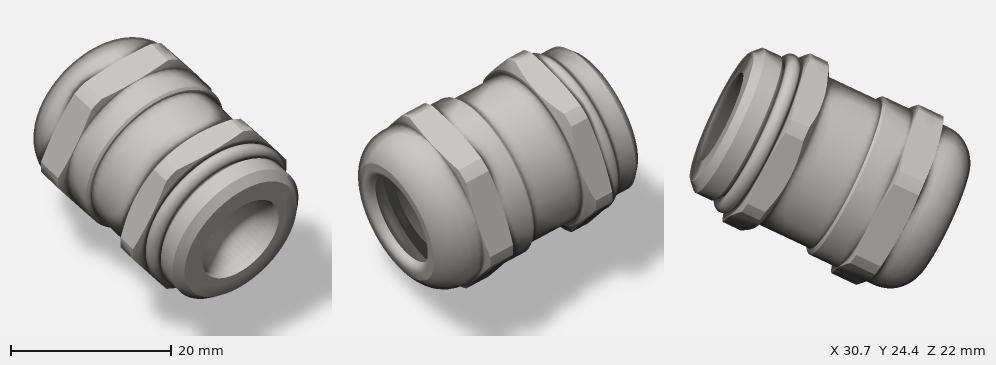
import cadquery as cq
import math


total_length = 30.65
hexagon_sides = 6
across_flats = 22.0
across_corners = 24.4
outer_diameter = 21.8

dome_end = 4.16
nut_hex_start = 5.46
nut_hex_end = 9.52
nut_end = 13.51
body_hex_start = 21.1
body_hex_end = 24.68
collar_start = 26.76

shallow_chamfer_diameter = 21.8
shallow_chamfer_angle = 13.0
steep_chamfer_diameter = 21.7
steep_chamfer_angle = 30.0

face_diameter = 16.3
lip_diameter = 12.3
lip_round = 0.9
lip_length = 1.15
skirt_chamfer = 0.29
thread_diameter = 19.4
thread_start = 5.5

insert_start = 4.0
insert_end = 12.0
seal_bore = 12.0
seal_diameter = 14.1
cage_diameter = 17.5
cage_head_diameter = 18.2

body_bore = 12.1
barrel_diameter = 20.4
neck_diameter = 17.8
collar_diameter = 20.0
collar_edge_diameter = 19.06
end_diameter = 17.8
end_chamfer_length = 1.07


def revolve_about_x(outline):
    return outline.close().revolve(360, (0, 0, 0), (1, 0, 0))


def tube(start, end, outer, inner):
    ring = cq.Workplane("YZ", origin=(start, 0, 0)).circle(outer / 2).circle(inner / 2)
    return ring.extrude(end - start)


def chamfered_hexagon(start, end, front_diameter, front_angle, back_diameter, back_angle):
    """Hexagonal collar with flats facing +Z and -Z, turned corners and a cone on both faces."""
    corner = across_corners / 2
    front_depth = (corner - front_diameter / 2) * math.tan(math.radians(front_angle))
    back_depth = (corner - back_diameter / 2) * math.tan(math.radians(back_angle))
    envelope = revolve_about_x(
        cq.Workplane("XY")
        .moveTo(start, 0)
        .lineTo(start, front_diameter / 2)
        .lineTo(start + front_depth, corner)
        .lineTo(end - back_depth, corner)
        .lineTo(end, back_diameter / 2)
        .lineTo(end, 0)
    )
    half_side_angle = 180 / hexagon_sides
    prism = (
        cq.Workplane("YZ", origin=(start, 0, 0))
        .polygon(hexagon_sides, across_flats, circumscribed=True)
        .extrude(end - start)
        .rotate((0, 0, 0), (1, 0, 0), half_side_angle)
    )
    return prism.intersect(envelope)


def make_nut():
    outer = outer_diameter / 2
    face = face_diameter / 2
    dome_rise = outer - face
    dome_radius = (dome_rise**2 + dome_end**2) / (2 * dome_rise)
    half_angle = math.atan2(dome_end, dome_radius - dome_rise) / 2
    dome_middle = (
        dome_end - dome_radius * math.sin(half_angle),
        outer - dome_radius * (1 - math.cos(half_angle)),
    )
    shell = revolve_about_x(
        cq.Workplane("XY")
        .moveTo(0, 0)
        .lineTo(0, face)
        .threePointArc(dome_middle, (dome_end, outer))
        .lineTo(nut_end - skirt_chamfer, outer)
        .lineTo(nut_end, outer - skirt_chamfer)
        .lineTo(nut_end, 0)
    )
    hexagon = chamfered_hexagon(
        nut_hex_start,
        nut_hex_end,
        shallow_chamfer_diameter,
        shallow_chamfer_angle,
        shallow_chamfer_diameter,
        shallow_chamfer_angle,
    )
    lip = lip_diameter / 2
    round_middle = lip_round * (1 - math.sqrt(0.5))
    cavity_wall = cage_head_diameter / 2
    cavity_round = insert_start - lip_length
    cavity_middle = cavity_round * (1 - math.sqrt(0.5))
    cavity = revolve_about_x(
        cq.Workplane("XY")
        .moveTo(0, 0)
        .lineTo(0, lip + lip_round)
        .threePointArc((round_middle, lip + round_middle), (lip_round, lip))
        .lineTo(lip_length, lip)
        .lineTo(lip_length, cavity_wall - cavity_round)
        .threePointArc(
            (lip_length + cavity_middle, cavity_wall - cavity_middle),
            (insert_start, cavity_wall),
        )
        .lineTo(thread_start, cavity_wall)
        .lineTo(thread_start, thread_diameter / 2)
        .lineTo(nut_end, thread_diameter / 2)
        .lineTo(nut_end, 0)
    )
    return shell.union(hexagon).cut(cavity)


def make_seal():
    return tube(insert_start, insert_end, seal_diameter, seal_bore)


def make_cage():
    """Ring around the seal, with a head that rests on the front of the body."""
    sleeve = tube(insert_start, insert_end, cage_diameter, seal_diameter)
    head = tube(insert_start, thread_start, cage_head_diameter, seal_diameter)
    return sleeve.union(head)


def make_body():
    collar_chamfer = (collar_diameter - collar_edge_diameter) / 2
    turned = revolve_about_x(
        cq.Workplane("XY")
        .moveTo(thread_start, cage_diameter / 2)
        .lineTo(thread_start, thread_diameter / 2)
        .lineTo(nut_end, thread_diameter / 2)
        .lineTo(nut_end, barrel_diameter / 2)
        .lineTo(body_hex_end, barrel_diameter / 2)
        .lineTo(body_hex_end, neck_diameter / 2)
        .lineTo(collar_start, neck_diameter / 2)
        .lineTo(collar_start, collar_edge_diameter / 2)
        .lineTo(collar_start + collar_chamfer, collar_diameter / 2)
        .lineTo(total_length - end_chamfer_length, collar_diameter / 2)
        .lineTo(total_length, end_diameter / 2)
        .lineTo(total_length, body_bore / 2)
        .lineTo(insert_end, body_bore / 2)
        .lineTo(insert_end, cage_diameter / 2)
    )
    hexagon = chamfered_hexagon(
        body_hex_start,
        body_hex_end,
        steep_chamfer_diameter,
        steep_chamfer_angle,
        shallow_chamfer_diameter,
        shallow_chamfer_angle,
    )
    bore = cq.Workplane("YZ").circle(body_bore / 2).extrude(total_length)
    return turned.union(hexagon.cut(bore))


def make_o_ring():
    """Ring resting on the neck and against the back of the body hexagon."""
    section_radius = (outer_diameter - neck_diameter) / 4
    ring_radius = neck_diameter / 2 + section_radius
    ring = cq.Solid.makeTorus(
        ring_radius,
        section_radius,
        cq.Vector(body_hex_end + section_radius, 0, 0),
        cq.Vector(1, 0, 0),
    )
    return cq.Workplane(ring)


nut = make_nut()
seal = make_seal()
cage = make_cage()
body = make_body()
o_ring = make_o_ring()

result = cq.Compound.makeCompound([nut.val(), seal.val(), cage.val(), body.val(), o_ring.val()])